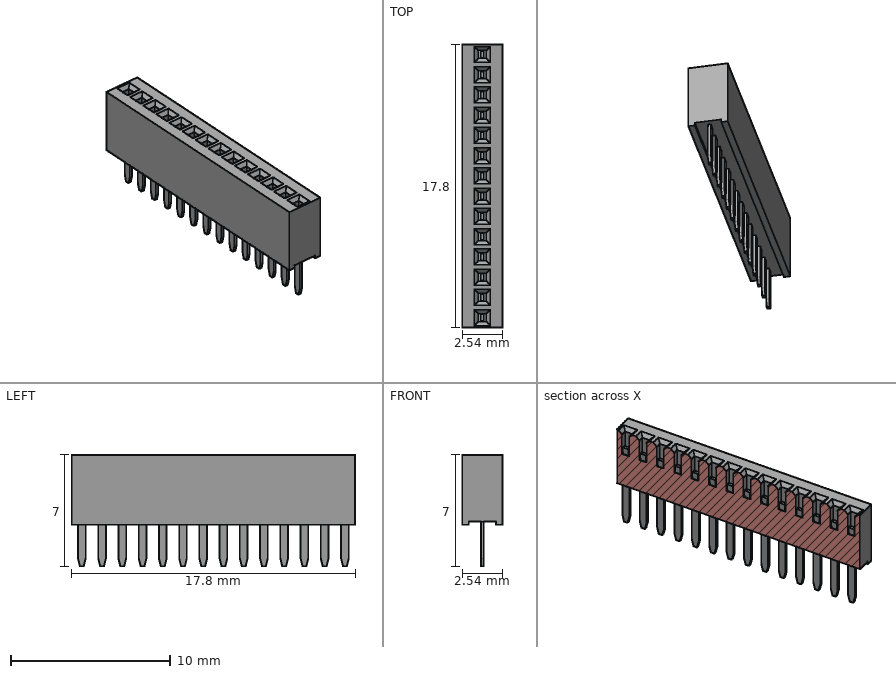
import cadquery as cq

position_count = 14
pitch = 1.27
body_width = 2.54
body_length = position_count * pitch
body_height = 4.4
overall_height = 7.0

foot_width = 0.42
foot_height = 0.2
channel_width = body_width - 2 * foot_width

funnel_mouth = 1.0
socket_size = 0.5
funnel_depth = (funnel_mouth - socket_size) / 2
socket_depth = 1.5

tail_thickness = 0.2
tail_width = 0.5
tail_tip_width = 0.25
tail_taper_length = 0.5
tail_bottom = body_height - overall_height

blade_width = 0.4
blade_rise = 0.5
socket_floor = body_height - funnel_depth - socket_depth

row_positions = [(i - (position_count - 1) / 2) * pitch for i in range(position_count)]


def make_housing():
    """Housing block standing on Z = 0 with the underside channel removed."""
    block = cq.Workplane("XY").box(body_width, body_length, body_height, centered=(True, True, False))
    channel = cq.Workplane("XY").box(channel_width, body_length, foot_height, centered=(True, True, False))
    return block.cut(channel)


def make_entry(y):
    """Volume of one contact entry, open at the top face."""
    funnel = (
        cq.Workplane("XY", origin=(0, y, body_height))
        .rect(funnel_mouth, funnel_mouth)
        .workplane(offset=-funnel_depth)
        .rect(socket_size, socket_size)
        .loft(ruled=True)
    )
    socket = (
        cq.Workplane("XY", origin=(0, y, body_height - funnel_depth))
        .rect(socket_size, socket_size)
        .extrude(-socket_depth)
    )
    return funnel.union(socket)


def make_contact(y):
    """One flat contact: blade above the socket floor, tail running down to its tapered tip."""
    taper_start = tail_bottom + tail_taper_length
    half_blade = blade_width / 2
    half_width = tail_width / 2
    half_tip = tail_tip_width / 2
    outline = [
        (half_blade, socket_floor + blade_rise),
        (half_blade, socket_floor),
        (half_width, socket_floor),
        (half_width, taper_start),
        (half_tip, tail_bottom),
        (-half_tip, tail_bottom),
        (-half_width, taper_start),
        (-half_width, socket_floor),
        (-half_blade, socket_floor),
        (-half_blade, socket_floor + blade_rise),
    ]
    return (
        cq.Workplane("YZ", origin=(-tail_thickness / 2, y, 0))
        .polyline(outline)
        .close()
        .extrude(tail_thickness)
    )


result = make_housing()
for row_y in row_positions:
    result = result.cut(make_entry(row_y))
    result = result.union(make_contact(row_y))